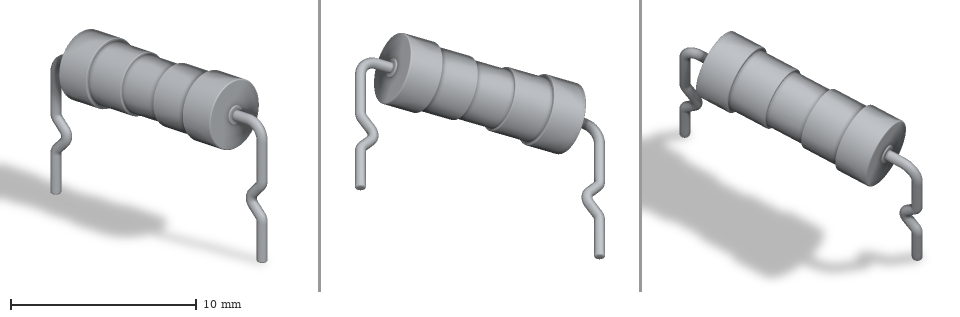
import cadquery as cq
import math


CAP_DIAMETER = 4.0
SHOULDER_DIAMETER = 3.6
CORE_DIAMETER = 3.3
CAP_OUTER_X = 5.5
CAP_INNER_X = 3.5
SHOULDER_INNER_X = 1.17
CAP_FACE_FILLET = 0.08
STEP_FILLET = 0.05

COLLAR_DIAMETER = 1.09
COLLAR_HEIGHT = 0.1
COLLAR_FILLET = 0.05

OVERALL_LENGTH = 15.6
OVERALL_HEIGHT = 10.0
LEAD_DIAMETER = 0.6
ELBOW_RADIUS = 1.0
KINK_RADIUS = 0.5
KINK_TOP_Z = -3.3
KINK_HEIGHT = 2.4
KINK_ANGLE = math.radians(45)
TIP_FILLET = 0.1

LEAD_X = (OVERALL_LENGTH - LEAD_DIAMETER) / 2
TIP_Z = CAP_DIAMETER / 2 - OVERALL_HEIGHT


def disc(diameter, start_x, length):
    """Round bar along +X that starts at start_x."""
    return cq.Workplane("YZ", origin=(start_x, 0, 0)).circle(diameter / 2).extrude(length)


def make_core():
    return disc(CORE_DIAMETER, -SHOULDER_INNER_X, 2 * SHOULDER_INNER_X)


def make_shoulder():
    """Shoulder section of the +X side, rounded at its edge next to the core."""
    shoulder = disc(SHOULDER_DIAMETER, SHOULDER_INNER_X, CAP_INNER_X - SHOULDER_INNER_X)
    return shoulder.edges("<X").fillet(STEP_FILLET)


def make_cap():
    """End cap of the +X side, with a rounded collar that holds the lead end."""
    cap = disc(CAP_DIAMETER, CAP_INNER_X, CAP_OUTER_X - CAP_INNER_X)
    cap = cap.edges(">X").fillet(CAP_FACE_FILLET)
    cap = cap.edges("<X").fillet(STEP_FILLET)
    collar = disc(COLLAR_DIAMETER, CAP_OUTER_X, COLLAR_HEIGHT).edges(">X").fillet(COLLAR_FILLET)
    lead_hole = disc(LEAD_DIAMETER, CAP_OUTER_X, COLLAR_HEIGHT)
    return cap.union(collar).cut(lead_hole)


def make_lead():
    """Lead of the +X side: an elbow, a V-shaped kink toward the body and a straight tip."""
    bend_drop = KINK_RADIUS * math.sin(KINK_ANGLE)
    bend_shift = KINK_RADIUS * (1 - math.cos(KINK_ANGLE))
    kink_mid_z = KINK_TOP_Z - KINK_HEIGHT / 2
    kink_bottom_z = KINK_TOP_Z - KINK_HEIGHT
    slope_drop = KINK_HEIGHT / 2 - 2 * bend_drop
    slope_shift = slope_drop * math.tan(KINK_ANGLE)

    outer_x = LEAD_X - bend_shift
    inner_x = outer_x - slope_shift
    apex_x = inner_x - bend_shift

    path = (
        cq.Workplane("XZ")
        .moveTo(CAP_OUTER_X, 0)
        .lineTo(LEAD_X - ELBOW_RADIUS, 0)
        .tangentArcPoint((LEAD_X, -ELBOW_RADIUS), relative=False)
        .lineTo(LEAD_X, KINK_TOP_Z)
        .tangentArcPoint((outer_x, KINK_TOP_Z - bend_drop), relative=False)
        .lineTo(inner_x, kink_mid_z + bend_drop)
        .threePointArc((apex_x, kink_mid_z), (inner_x, kink_mid_z - bend_drop))
        .lineTo(outer_x, kink_bottom_z + bend_drop)
        .tangentArcPoint((LEAD_X, kink_bottom_z), relative=False)
        .lineTo(LEAD_X, TIP_Z)
    )
    section = cq.Workplane("YZ", origin=(CAP_OUTER_X, 0, 0)).circle(LEAD_DIAMETER / 2)
    return section.sweep(path).faces("<Z").edges().fillet(TIP_FILLET)


core = make_core()
bodies = [core.val()]

for turn in (0, 180):
    for make_body in (make_shoulder, make_cap, make_lead):
        body = make_body().rotate((0, 0, 0), (0, 0, 1), turn)
        bodies.extend(body.solids().vals())

result = cq.Compound.makeCompound(bodies)